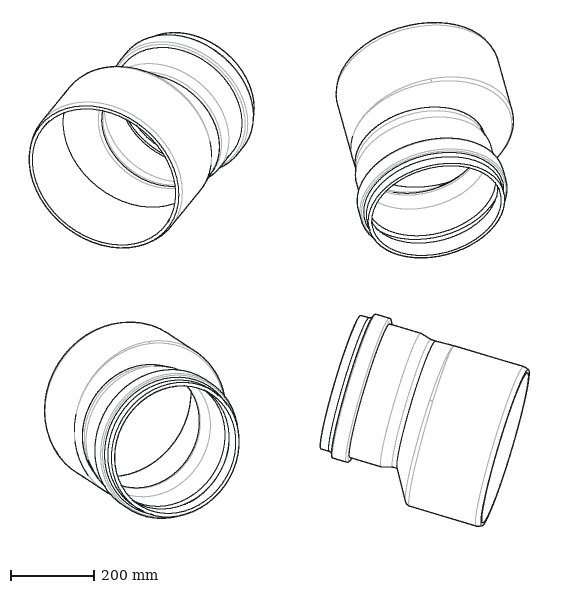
import cadquery as cq


spigot_outer = 400.0
spigot_bore = 375.3
spigot_tip = 392.3
neck_outer = 320.0
neck_bore = 295.5
bore_blend = 301.8
socket_outer = 335.0
socket_bore = 317.0
collar_outer = 361.0
collar_root = 343.5
socket_wall = (socket_outer - socket_bore) / 2
groove_bore = collar_outer - 2 * socket_wall

spigot_chamfer_end = 12.5
cone_start = 187.0
cone_end = 234.5
bore_cone_start = 183.5
blend_start = 226.0
blend_end = 232.0
neck_bore_end = 238.0
neck_end = 246.5
socket_start = 273.5
collar_start = 352.0
collar_end = 393.5
collar_cone_end = 403.8
total_length = 425.0

shoulder_radius = 12.8
collar_front_round = 4.5
collar_back_round = 3.5
shoulder_inset = 0.5
pick_margin = 0.5
neck_x = (spigot_outer - neck_outer) / 2


def revolve_profile(stations, axis_x):
    """Solid of revolution from (diameter, Y) pairs about an axis along Y."""
    points = [(axis_x + diameter / 2, y) for diameter, y in stations]
    first_y = stations[0][1]
    last_y = stations[-1][1]
    outline = cq.Workplane("XY").polyline([(axis_x, first_y), *points, (axis_x, last_y)]).close()
    return outline.revolve(360, (axis_x, 0, 0), (axis_x, 1, 0))


def skew_cone(start, end):
    """Cone between two circles square to Y, each given as (diameter, Y, center X)."""
    rings = []
    for diameter, y, center_x in (start, end):
        center = cq.Vector(center_x, y, 0)
        rings.append(cq.Wire.makeCircle(diameter / 2, center, cq.Vector(0, 1, 0)))
    return cq.Workplane(obj=cq.Solid.makeLoft(rings, True))


def make_spigot_and_shoulder():
    spigot = revolve_profile(
        [(spigot_tip, 0), (spigot_outer, spigot_chamfer_end), (spigot_outer, cone_start)], 0
    )
    shoulder = skew_cone(
        (spigot_outer, cone_start, 0), (neck_outer, cone_end, neck_x - shoulder_inset)
    )
    body = spigot.union(shoulder)
    reach = spigot_outer
    rim = cq.selectors.BoxSelector(
        (-reach, cone_start - pick_margin, -reach), (reach, cone_start + pick_margin, reach)
    )
    return body.edges(rim).fillet(shoulder_radius)


def make_socket():
    socket = revolve_profile(
        [
            (neck_outer, cone_end),
            (neck_outer, neck_end),
            (socket_outer, socket_start),
            (socket_outer, total_length),
        ],
        neck_x,
    )
    collar = revolve_profile([(collar_outer, collar_start), (collar_outer, collar_end)], neck_x)
    collar = collar.faces("<Y").edges().fillet(collar_front_round)
    collar = collar.faces(">Y").edges().fillet(collar_back_round)
    collar_cone = revolve_profile(
        [(collar_root, collar_end), (socket_outer, collar_cone_end)], neck_x
    )
    return socket.union(collar).union(collar_cone)


def make_bore():
    blend_x = (spigot_bore - bore_blend) / 2
    spigot = revolve_profile([(spigot_bore, 0), (spigot_bore, bore_cone_start)], 0)
    cone = skew_cone((spigot_bore, bore_cone_start, 0), (bore_blend, blend_start, blend_x))
    blend = skew_cone((bore_blend, blend_start, blend_x), (neck_bore, blend_end, neck_x))
    socket = revolve_profile(
        [
            (neck_bore, blend_end),
            (neck_bore, neck_bore_end),
            (socket_bore, socket_start),
            (socket_bore, total_length),
        ],
        neck_x,
    )
    groove = revolve_profile(
        [
            (groove_bore, collar_start + socket_wall),
            (groove_bore, collar_end - socket_wall),
        ],
        neck_x,
    )
    return spigot.union(cone).union(blend).union(socket).union(groove)


outside = make_spigot_and_shoulder().union(make_socket())
result = outside.cut(make_bore())